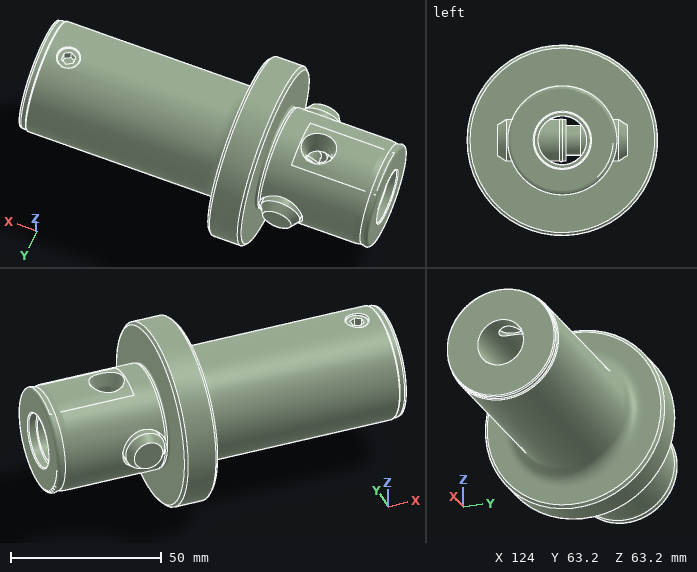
import cadquery as cq
import math

LENGTH = 124.0
FLANGE_START = 40.0
FLANGE_END = 52.0

FLANGE_RADIUS = 31.6
FLANGE_CHAMFER = 1.0
SHANK_RADIUS = 19.5
SHANK_FILLET = 5.0
SHANK_END_RADIUS = 19.1
SHANK_END_LENGTH = 2.4
END_CHAMFER_LENGTH = 0.7
END_FACE_RADIUS = 18.8

SPIGOT_RADIUS = 18.1
NOSE_FILLET = 1.2
GROOVE_BOTTOM = 2.7
GROOVE_END = 5.0
GROOVE_DEPTH = 0.4

RELIEF_START = 38.3
RELIEF_BOTTOM = 39.2
RELIEF_DEPTH = 0.4
RELIEF_FILLET = 0.6

RECESS_END = 30.9
RECESS_WIDTH = 16.9
RECESS_DEPTH = 0.06

BORE_RADIUS = 8.0
COUNTERBORE_RADIUS = 9.3
COUNTERBORE_DEPTH = 3.0
COUNTERBORE_CHAMFER = 0.4

ACCESS_HOLE_X = 24.4
ACCESS_HOLE_RADIUS = 4.3
ACCESS_MOUTH_RADIUS = 6.0
ACCESS_MOUTH_DEPTH = 5.6

PIN_X = 30.9
PIN_RADIUS = 7.0
PIN_HALF_LENGTH = 21.6
PIN_TIP_RADIUS = 5.1
PIN_TIP_LENGTH = 3.0
WAIST_RADIUS = 5.0
WAIST_START = -6.1
WAIST_END = -1.2

COUNTERSINK_RADIUS = 7.8
COUNTERSINK_DEPTH = 2.5

RING_Y = 0.4
RING_WIRE_RADIUS = 0.7
RING_PROTRUSION = 0.19
RING_CENTER_RADIUS = PIN_RADIUS + RING_PROTRUSION - RING_WIRE_RADIUS

SCREW_X = 113.8
SCREW_RADIUS = 4.0
SCREW_TOP = 18.6
SCREW_LENGTH = 9.9
SCREW_CHAMFER = 0.2
SOCKET_WIDTH = 4.1
SOCKET_DEPTH = 3.7

CLEARANCE = 1.2
ARC_MID_INSET = 1 - math.sqrt(0.5)


def cylinder(plane, origin, radius, height):
    """Cylinder that rises from the plane along its normal."""
    return cq.Workplane(plane, origin=origin).circle(radius).extrude(height)


def cone(plane, origin, start_radius, end_radius, height):
    """Truncated cone that rises from the plane along its normal."""
    return (
        cq.Workplane(plane, origin=origin)
        .circle(start_radius)
        .workplane(offset=height)
        .circle(end_radius)
        .loft(ruled=True)
    )


def make_turned_blank():
    """Spigot, flange and shank as one profile turned about X."""
    groove_radius = SPIGOT_RADIUS - GROOVE_DEPTH
    relief_radius = SPIGOT_RADIUS - RELIEF_DEPTH
    nose_inset = NOSE_FILLET * ARC_MID_INSET
    relief_inset = RELIEF_FILLET * ARC_MID_INSET
    shank_inset = SHANK_FILLET * ARC_MID_INSET
    shank_end = LENGTH - SHANK_END_LENGTH
    shank_step = SHANK_RADIUS - SHANK_END_RADIUS
    profile = (
        cq.Workplane("XY")
        .moveTo(0, 0)
        .lineTo(0, SPIGOT_RADIUS - NOSE_FILLET)
        .threePointArc((nose_inset, SPIGOT_RADIUS - nose_inset), (NOSE_FILLET, SPIGOT_RADIUS))
        .lineTo(GROOVE_BOTTOM, groove_radius)
        .lineTo(GROOVE_END, SPIGOT_RADIUS)
        .lineTo(RELIEF_START, SPIGOT_RADIUS)
        .lineTo(RELIEF_BOTTOM, relief_radius)
        .lineTo(FLANGE_START - RELIEF_FILLET, relief_radius)
        .threePointArc(
            (FLANGE_START - relief_inset, relief_radius + relief_inset),
            (FLANGE_START, relief_radius + RELIEF_FILLET),
        )
        .lineTo(FLANGE_START, FLANGE_RADIUS - FLANGE_CHAMFER)
        .lineTo(FLANGE_START + FLANGE_CHAMFER, FLANGE_RADIUS)
        .lineTo(FLANGE_END - FLANGE_CHAMFER, FLANGE_RADIUS)
        .lineTo(FLANGE_END, FLANGE_RADIUS - FLANGE_CHAMFER)
        .lineTo(FLANGE_END, SHANK_RADIUS + SHANK_FILLET)
        .threePointArc(
            (FLANGE_END + shank_inset, SHANK_RADIUS + shank_inset),
            (FLANGE_END + SHANK_FILLET, SHANK_RADIUS),
        )
        .lineTo(shank_end - shank_step, SHANK_RADIUS)
        .lineTo(shank_end, SHANK_END_RADIUS)
        .lineTo(LENGTH - END_CHAMFER_LENGTH, SHANK_END_RADIUS)
        .lineTo(LENGTH, END_FACE_RADIUS)
        .lineTo(LENGTH, 0)
        .close()
    )
    return profile.revolve(360, (0, 0, 0), (1, 0, 0))


def make_recess():
    """Sector of a thin sleeve that lowers the top of the spigot by the recess depth."""
    sleeve = (
        cq.Workplane("YZ")
        .circle(SPIGOT_RADIUS + CLEARANCE)
        .circle(SPIGOT_RADIUS - RECESS_DEPTH)
        .extrude(RECESS_END)
    )
    strip_height = SPIGOT_RADIUS + 2 * CLEARANCE
    strip = cq.Workplane("XY").box(2 * RECESS_END, RECESS_WIDTH, strip_height, centered=(True, True, False))
    return sleeve.intersect(strip)


def make_bore():
    """Through bore, counterbore and the counterbore's edge chamfer."""
    nose = (0, 0, 0)
    bore = cylinder("YZ", nose, BORE_RADIUS, LENGTH)
    counterbore = cylinder("YZ", nose, COUNTERBORE_RADIUS, COUNTERBORE_DEPTH)
    mouth_radius = COUNTERBORE_RADIUS + COUNTERBORE_CHAMFER
    chamfer = cone("YZ", nose, mouth_radius, COUNTERBORE_RADIUS, COUNTERBORE_CHAMFER)
    return bore.union(counterbore).union(chamfer)


def make_access_hole():
    """Straight hole down to the bore with a conical mouth at the top of the spigot."""
    mouth_origin = (ACCESS_HOLE_X, 0, SPIGOT_RADIUS)
    mouth = cone("XY", mouth_origin, ACCESS_MOUTH_RADIUS, ACCESS_HOLE_RADIUS, -ACCESS_MOUTH_DEPTH)
    straight = cylinder("XY", (ACCESS_HOLE_X, 0, 0), ACCESS_HOLE_RADIUS, SPIGOT_RADIUS)
    return mouth.union(straight)


def make_pin_hole():
    """Cross hole through the spigot, countersunk at both ends."""
    half_length = SPIGOT_RADIUS + CLEARANCE
    hole = cylinder("XZ", (PIN_X, half_length, 0), PIN_RADIUS, 2 * half_length)
    countersink_origin = (PIN_X, COUNTERSINK_DEPTH - SPIGOT_RADIUS, 0)
    countersink = cone("XZ", countersink_origin, PIN_RADIUS, COUNTERSINK_RADIUS, COUNTERSINK_DEPTH)
    return hole.union(countersink).union(countersink.mirror("XZ"))


def make_screw_hole():
    """Radial hole from the top of the shank into the bore."""
    return cylinder("XY", (SCREW_X, 0, 0), SCREW_RADIUS, SHANK_RADIUS + CLEARANCE)


def make_housing():
    body = make_turned_blank()
    for cut in (make_recess(), make_bore(), make_access_hole(), make_pin_hole(), make_screw_hole()):
        body = body.cut(cut)
    return body


def make_ring():
    center = cq.Vector(PIN_X, RING_Y, 0)
    return cq.Workplane(cq.Solid.makeTorus(RING_CENTER_RADIUS, RING_WIRE_RADIUS, center, cq.Vector(0, 1, 0)))


def make_pin():
    """Pin turned about its Y axis, with a seat that matches the ring."""
    tip_start = PIN_HALF_LENGTH - PIN_TIP_LENGTH
    turned = (
        cq.Workplane("XY", origin=(PIN_X, 0, 0))
        .moveTo(0, -PIN_HALF_LENGTH)
        .lineTo(PIN_TIP_RADIUS, -PIN_HALF_LENGTH)
        .lineTo(PIN_RADIUS, -tip_start)
        .lineTo(PIN_RADIUS, WAIST_START)
        .lineTo(WAIST_RADIUS, WAIST_START)
        .lineTo(WAIST_RADIUS, WAIST_END)
        .lineTo(PIN_RADIUS, WAIST_END)
        .lineTo(PIN_RADIUS, tip_start)
        .lineTo(PIN_TIP_RADIUS, PIN_HALF_LENGTH)
        .lineTo(0, PIN_HALF_LENGTH)
        .close()
        .revolve(360, (0, 0, 0), (0, 1, 0))
    )
    return turned.cut(make_ring())


def make_set_screw():
    """Headless screw with a hexagon socket whose corners point along Y."""
    top = (SCREW_X, 0, SCREW_TOP)
    socket_diagonal = SOCKET_WIDTH / math.cos(math.pi / 6)
    blank = cylinder("XY", top, SCREW_RADIUS, -SCREW_LENGTH).faces(">Z").chamfer(SCREW_CHAMFER)
    socket = (
        cq.Workplane("XY", origin=top)
        .transformed(rotate=(0, 0, 90))
        .polygon(6, socket_diagonal)
        .extrude(-SOCKET_DEPTH)
    )
    return blank.cut(socket)


housing = make_housing()
pin = make_pin()
ring = make_ring()
set_screw = make_set_screw()

result = cq.Compound.makeCompound([housing.val(), pin.val(), ring.val(), set_screw.val()])